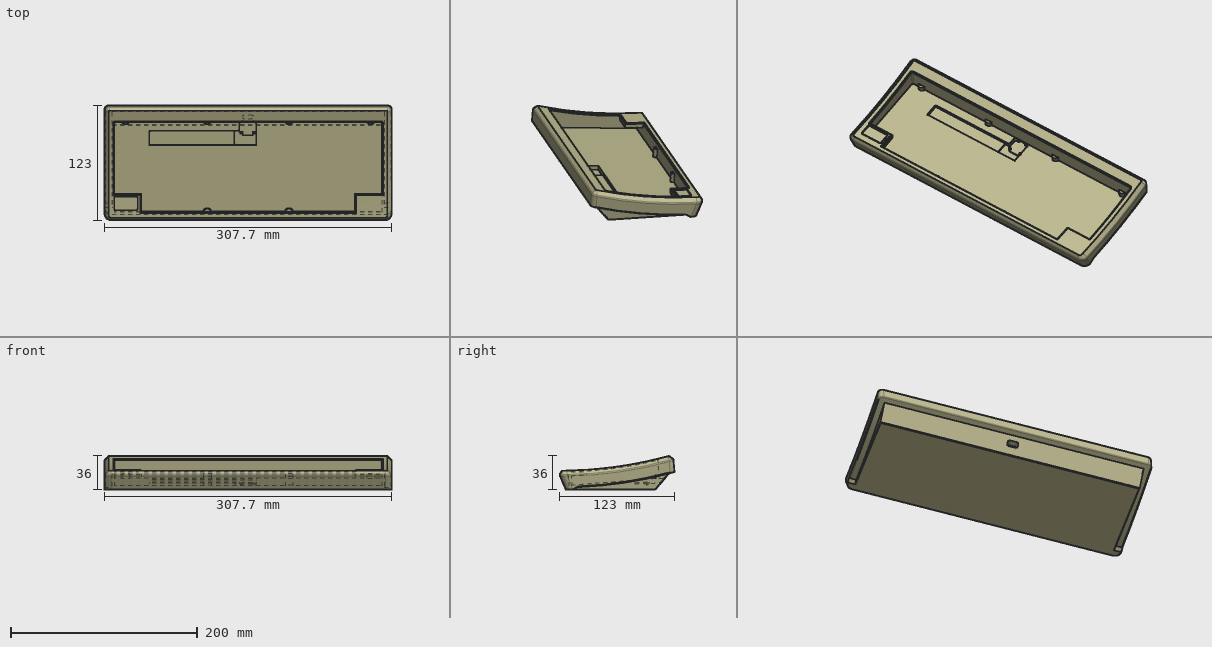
import cadquery as cq
import math

LENGTH = 307.7
SIDE_X = LENGTH / 2
TOP_RADIUS = 434.0
TOP_LOW_Y = -60.0
TOP_LOW_Z = 20.35
RIM_DEPTH = 18.2

FRONT_SOLE_Y = -54.95
FRONT_LEAN = 23.0
BACK_TOP_Y = 60.0
BACK_LEAN = 5.0
RIM_TOE_Y = -47.5
RIM_TOE_RUN = 4.5

FRONT_CORNER_RADIUS = 7.0
BACK_CORNER_RADIUS = 5.0
TOP_CHAMFER = 4.7
TOP_CHAMFER_BLEND = 2.3
RIM_UNDER_RADIUS = 1.0

FOOT_INSET = 8.0
FOOT_BACK_SOLE_Y = 41.0
FOOT_BACK_TOP = (57.0, 19.2)
FOOT_BACK_BURIED = (50.0, 24.0)
FOOT_FRONT_BURIED = (-50.0, 6.0)
SOLE_CHAMFER = 0.6

FLOOR_TILT = 4.5
FLOOR_MID_Z = 8.9
CAVITY_X = 143.3
CAVITY_FRONT = -51.9
CAVITY_BACK = 44.9
CAVITY_CORNER_RADIUS = 1.3
SHELF_X = 114.4
SHELF_DEPTH = 19.4
SHELF_UNDERSIDE = 9.9
OPENING_CHAMFER = 1.2
CLEAR_HEIGHT = 60.0

POST_RADIUS = 8.3 / 2
POST_SETBACK = 0.8
BACK_POST_HEIGHT = 5.0
FRONT_POST_HEIGHT = 9.5
POST_PITCH = 87.5
BACK_POST_COUNT = 4
FRONT_POST_COUNT = 2

SLOT_LEFT = -105.9
SLOT_FRONT = 18.9
SLOT_BACK = 34.2
SLOT_DEPTH = 3.0
SLOT_CORNER_RADIUS = 1.5
POCKET_LEFT = -14.7
POCKET_RIGHT = 8.5
POCKET_DEPTH = 4.2
BAY_LEFT = -9.3
BAY_BACK_RADIUS = 3.0
BAY_DEPTH = 5.0
BAY_FRONT = 29.0
BAY_SHOULDER = 33.0
BAY_SHOULDER_WIDTH = 3.4
SCREW_DIAMETER = 1.6
SCREW_DEPTH = 2.0
SCREW_SPAN = 14.4
SCREW_Y = 31.6
BAY_CENTER = (BAY_LEFT + POCKET_RIGHT) / 2
PORT_WIDTH = 12.0
PORT_HEIGHT = 4.5
PORT_LENGTH = 20.0

BADGE_CENTER_X = -130.8
BADGE_SIZE = (24.9, 14.4)
BADGE_CENTER_Y = -43.4
BADGE_DEPTH = 1.5
BADGE_CORNER_RADIUS = 1.0

TOP_AXIS_Z = TOP_LOW_Z + TOP_RADIUS


def dish_z(y, radius):
    """Height at y of an arc about the axis of the dished top."""
    return TOP_AXIS_Z - math.sqrt(radius**2 - (y - TOP_LOW_Y)**2)


def profile_plane():
    """YZ plane at mid-length: local x is Y and local y is Z."""
    return cq.Workplane("YZ")


def make_rim():
    """Dished slab with leaning front and back, before its edges are broken."""
    under_radius = TOP_RADIUS + RIM_DEPTH
    front_rise = dish_z(TOP_LOW_Y, TOP_RADIUS)
    front_top_y = FRONT_SOLE_Y - front_rise * math.tan(math.radians(FRONT_LEAN))
    back_foot_y = BACK_TOP_Y + RIM_DEPTH * math.tan(math.radians(BACK_LEAN))
    toe_top_y = RIM_TOE_Y + RIM_TOE_RUN
    mid_top_y = (front_top_y + BACK_TOP_Y) / 2
    mid_under_y = (toe_top_y + back_foot_y) / 2

    return (
        profile_plane()
        .moveTo(FRONT_SOLE_Y, 0)
        .lineTo(front_top_y, dish_z(front_top_y, TOP_RADIUS))
        .threePointArc(
            (mid_top_y, dish_z(mid_top_y, TOP_RADIUS)),
            (BACK_TOP_Y, dish_z(BACK_TOP_Y, TOP_RADIUS)),
        )
        .lineTo(back_foot_y, dish_z(back_foot_y, under_radius))
        .threePointArc(
            (mid_under_y, dish_z(mid_under_y, under_radius)),
            (toe_top_y, dish_z(toe_top_y, under_radius)),
        )
        .lineTo(RIM_TOE_Y, 0)
        .close()
        .extrude(SIDE_X, both=True)
    )


def depth_below_top(shape):
    """Vertical distance of an edge's midpoint below the dished top."""
    middle = shape.positionAt(0.5)
    return dish_z(middle.y, TOP_RADIUS) - middle.z


def is_chamfer_foot(edge):
    """True for the lower outline of the top chamfer."""
    return TOP_CHAMFER * 0.8 < depth_below_top(edge) < TOP_CHAMFER * 1.1


def is_rim_underside(edge):
    """True for the side and back edges of the rim's underside."""
    on_underside = RIM_DEPTH - 0.5 < depth_below_top(edge) < RIM_DEPTH + 1.0
    return on_underside and edge.positionAt(0.5).y > 0


def round_rim(body):
    """Round the upright corners, then break the upper and lower outlines."""
    front_corners = cq.selectors.BoxSelector((-200, -70, 2), (200, -54, 18))
    back_corners = cq.selectors.BoxSelector((-200, 59, 22), (200, 70, 33))
    body = body.edges(front_corners).edges("not |X").fillet(FRONT_CORNER_RADIUS)
    body = body.edges(back_corners).edges("not |X").fillet(BACK_CORNER_RADIUS)
    top_face = cq.NearestToPointSelector((0, 0, dish_z(0, TOP_RADIUS)))
    body = body.faces(top_face).chamfer(TOP_CHAMFER)
    body = body.edges().filter(is_chamfer_foot).fillet(TOP_CHAMFER_BLEND)
    return body.edges().filter(is_rim_underside).fillet(RIM_UNDER_RADIUS)


def make_foot():
    """Wedge that carries the raised back of the rim; its top is buried in the rim."""
    foot = (
        profile_plane()
        .polyline([
            (RIM_TOE_Y - RIM_TOE_RUN, 0),
            (FOOT_BACK_SOLE_Y, 0),
            FOOT_BACK_TOP,
            FOOT_BACK_BURIED,
            FOOT_FRONT_BURIED,
        ])
        .close()
        .extrude(SIDE_X - FOOT_INSET, both=True)
    )
    return foot.faces("<Z").edges(">Y or <X or >X").chamfer(SOLE_CHAMFER)


def tilted(solid):
    """Carry a solid from the flat floor layout to the tilted floor."""
    return solid.rotate((0, 0, 0), (1, 0, 0), FLOOR_TILT).translate((0, 0, FLOOR_MID_Z))


def block(left, right, front, back, bottom, top):
    """Box given by its six limits."""
    return cq.Workplane("XY").box(
        right - left, back - front, top - bottom, centered=False
    ).translate((left, front, bottom))


def make_cavity():
    """Well that runs under the shelves, plus the T-shaped opening above it."""
    well = block(-CAVITY_X, CAVITY_X, CAVITY_FRONT, CAVITY_BACK, 0, SHELF_UNDERSIDE)
    shelf_back = CAVITY_FRONT + SHELF_DEPTH
    opening = (
        cq.Workplane("XY")
        .polyline([
            (-SHELF_X, CAVITY_FRONT),
            (SHELF_X, CAVITY_FRONT),
            (SHELF_X, shelf_back),
            (CAVITY_X, shelf_back),
            (CAVITY_X, CAVITY_BACK),
            (-CAVITY_X, CAVITY_BACK),
            (-CAVITY_X, shelf_back),
            (-SHELF_X, shelf_back),
        ])
        .close()
        .extrude(CLEAR_HEIGHT)
    )
    cavity = well.union(opening)
    return cavity.edges("|Z").edges(">Y").fillet(CAVITY_CORNER_RADIUS)


def make_posts():
    """Half-round posts along the back and front walls, up from the floor."""
    posts = cq.Workplane("XY")
    rows = [
        (BACK_POST_COUNT, CAVITY_BACK + POST_SETBACK, BACK_POST_HEIGHT),
        (FRONT_POST_COUNT, CAVITY_FRONT - POST_SETBACK, FRONT_POST_HEIGHT),
    ]
    for count, axis_y, height in rows:
        for index in range(count):
            x = (index - (count - 1) / 2) * POST_PITCH
            post = cq.Workplane("XY").center(x, axis_y).circle(POST_RADIUS).extrude(height)
            posts = posts.add(post)
    return posts


def make_floor_recess():
    """Cable slot, board pocket, connector bay, screw holes and connector port."""
    slot = block(SLOT_LEFT, POCKET_RIGHT, SLOT_FRONT, SLOT_BACK, -SLOT_DEPTH, 0)
    slot = slot.edges("|Z and <X and >Y").fillet(SLOT_CORNER_RADIUS)
    pocket = block(POCKET_LEFT, POCKET_RIGHT, SLOT_FRONT, SLOT_BACK, -POCKET_DEPTH, 0)
    pocket = pocket.edges("|Z and <X").fillet(SLOT_CORNER_RADIUS)
    board = block(BAY_LEFT, POCKET_RIGHT, SLOT_FRONT, CAVITY_BACK, -POCKET_DEPTH, 0)
    board = board.edges("|Z and >Y").fillet(BAY_BACK_RADIUS)
    recess = slot.union(pocket).union(board)
    slot_junction = cq.selectors.BoxSelector(
        (BAY_LEFT - 0.1, SLOT_BACK - 0.1, -SLOT_DEPTH - 0.1), (BAY_LEFT + 0.1, SLOT_BACK + 0.1, 0.1)
    )
    recess = recess.edges("|Z").edges(slot_junction).fillet(SLOT_CORNER_RADIUS)

    bay = block(BAY_LEFT, POCKET_RIGHT, BAY_SHOULDER, CAVITY_BACK, -BAY_DEPTH, 0)
    bay = bay.edges("|Z and >Y").fillet(BAY_BACK_RADIUS)
    nose = block(
        BAY_LEFT + BAY_SHOULDER_WIDTH, POCKET_RIGHT - BAY_SHOULDER_WIDTH,
        BAY_FRONT, BAY_SHOULDER, -BAY_DEPTH, 0,
    )
    screws = (
        cq.Workplane("XY")
        .workplane(offset=-POCKET_DEPTH - SCREW_DEPTH)
        .pushPoints([(BAY_CENTER + side * SCREW_SPAN / 2, SCREW_Y) for side in (-1, 1)])
        .circle(SCREW_DIAMETER / 2)
        .extrude(SCREW_DEPTH)
    )
    port = (
        cq.Workplane("XZ", origin=(BAY_CENTER, CAVITY_BACK, -BAY_DEPTH + PORT_HEIGHT / 2))
        .slot2D(PORT_WIDTH, PORT_HEIGHT)
        .extrude(-PORT_LENGTH)
    )
    return recess.union(bay).union(nose).union(screws).union(port)


def make_badge_recess():
    """Shallow flat-bottomed pocket with rounded corners."""
    bottom = dish_z(BADGE_CENTER_Y, TOP_RADIUS) - BADGE_DEPTH
    return (
        cq.Workplane("XY", origin=(BADGE_CENTER_X, BADGE_CENTER_Y, bottom))
        .rect(*BADGE_SIZE)
        .extrude(CLEAR_HEIGHT)
        .edges("|Z")
        .fillet(BADGE_CORNER_RADIUS)
    )


def is_opening_rim(edge):
    """True for the edges where the opening meets the dished top."""
    middle = edge.positionAt(0.5)
    inside = abs(middle.x) < CAVITY_X + 0.5 and CAVITY_FRONT - 4 < middle.y < CAVITY_BACK
    return inside and abs(depth_below_top(edge)) < 0.05


case = round_rim(make_rim()).union(make_foot())
case = case.cut(tilted(make_cavity()))
case = case.edges().filter(is_opening_rim).chamfer(OPENING_CHAMFER)
case = case.cut(make_badge_recess())
for post in make_posts().vals():
    case = case.union(tilted(cq.Workplane(post)))
case = case.cut(tilted(make_floor_recess()))
result = case